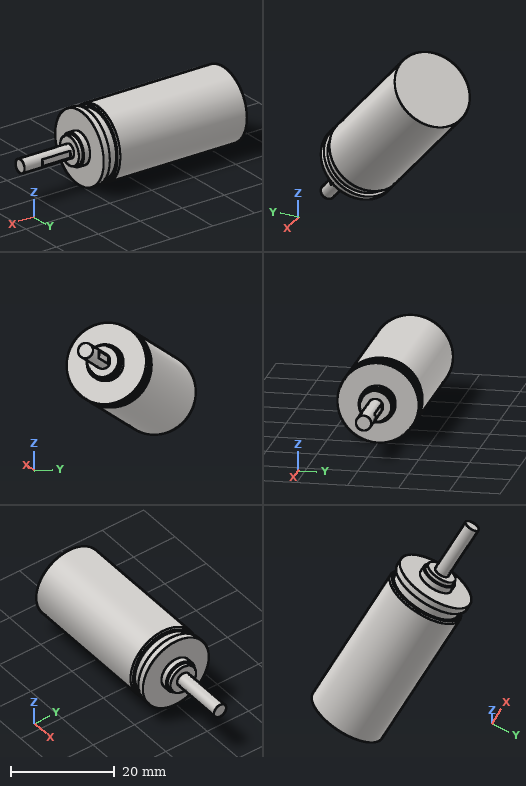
import cadquery as cq

total_length = 48.3
body_diameter = 16.0

shaft_length = 11.8
boss_tip_length = 0.9
boss_base_length = 1.45
flange_thickness = 1.45
groove_width = 2.1

groove_diameter = 14.45
boss_base_diameter = 7.0
boss_tip_diameter = 6.2
shaft_diameter = 3.0

chamfer_length = 0.45
chamfer_depth = 0.3

flat_length = 6.65
flat_end_margin = 4.35
flat_depth = 0.2

shaft_start = total_length / 2 - shaft_length
boss_tip_start = shaft_start - boss_tip_length
flange_end = boss_tip_start - boss_base_length
flange_start = flange_end - flange_thickness
groove_start = flange_start - groove_width
body_start = -total_length / 2


def cylinder(start, end, diameter):
    """Solid cylinder along X between two stations."""
    return cq.Workplane("YZ", origin=(start, 0, 0)).circle(diameter / 2).extrude(end - start)


def chamfered_body():
    """Main body as a revolved outline with its front edge chamfered."""
    radius = body_diameter / 2
    return (
        cq.Workplane("XY")
        .moveTo(body_start, 0)
        .lineTo(body_start, radius)
        .lineTo(groove_start - chamfer_length, radius)
        .lineTo(groove_start, radius - chamfer_depth)
        .lineTo(groove_start, 0)
        .close()
        .revolve(360, (0, 0, 0), (1, 0, 0))
    )


def flatted_shaft():
    """Output shaft with a flat that stops short of both ends."""
    flat_end = total_length / 2 - flat_end_margin
    flat_center_x = flat_end - flat_length / 2
    flat_bottom_y = shaft_diameter / 2 - flat_depth
    cutter = cq.Workplane("XY").box(flat_length, shaft_diameter, shaft_diameter).translate(
        (flat_center_x, flat_bottom_y + shaft_diameter / 2, 0)
    )
    return cylinder(shaft_start, total_length / 2, shaft_diameter).cut(cutter)


result = (
    chamfered_body()
    .union(cylinder(groove_start, flange_start, groove_diameter))
    .union(cylinder(flange_start, flange_end, body_diameter))
    .union(cylinder(flange_end, boss_tip_start, boss_base_diameter))
    .union(cylinder(boss_tip_start, shaft_start, boss_tip_diameter))
    .union(flatted_shaft())
)